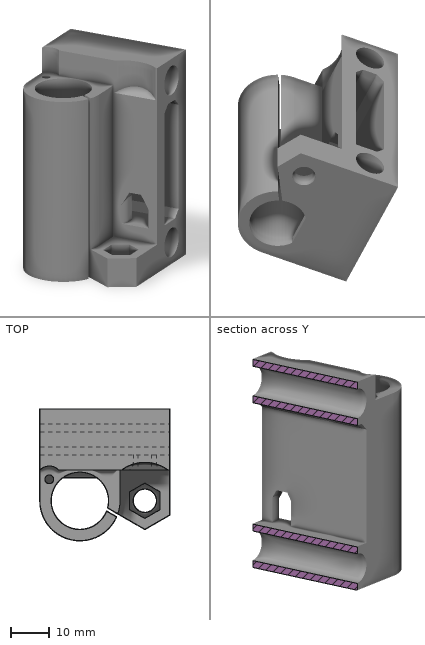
import cadquery as cq
import math

height = 57.0
width = 34.0
block_depth = 16.0

clamp_radius = 10.5
clamp_height = 50.0
clamp_x = clamp_radius
axis_y = -24.0
bore_radius = 7.45
lip_height = 2.0
lip_y = -18.0
slit_width = 0.8

plate_height = 8.0
plate_hex_radius = 7.5
nut_x = width - plate_hex_radius * math.cos(math.radians(30))
nut_radius = 4.6
nut_depth = 4.0
rod_hole_radius = 3.0

clearance_radius = 10.05
clearance_z = 48.0

corner_x = 2.5
corner_y = -18.4
corner_hole_radius = 1.15
corner_hole_depth = 10.0
scallop_radius = 3.5

cross_y = -block_depth / 2
cross_hole_radius = 4.0
cross_hole_heights = (6.0, 51.0)
slot_width = 8.05
slot_bottom = 11.95
slot_top = 45.05
slot_chamfer = 2.05
slot_back = cross_y + slot_width / 2
slot_front = cross_y - slot_width / 2

window_width = 8.1
window_throat = 6.05
window_top_width = 3.5
window_side_top = 17.1
window_top = 21.0
flare_radius = 2.5


def upright_cylinder(x, y, radius, bottom, top):
    return cq.Workplane("XY", origin=(x, y, bottom)).circle(radius).extrude(top - bottom)


def upright_hexagon(radius, bottom, top):
    """Hexagon on the nut axis with one corner pointing to the front."""
    corners = [
        (
            nut_x + radius * math.cos(math.radians(30 + 60 * i)),
            axis_y + radius * math.sin(math.radians(30 + 60 * i)),
        )
        for i in range(6)
    ]
    return cq.Workplane("XY", origin=(0, 0, bottom)).polyline(corners).close().extrude(top - bottom)


def box_between(x0, x1, y0, y1, z0, z1):
    return cq.Workplane("XY").box(x1 - x0, y1 - y0, z1 - z0, centered=False).translate((x0, y0, z0))


def make_block():
    return box_between(0, width, -block_depth, 0, 0, height)


def make_clamp():
    web = box_between(0, 2 * clamp_radius, axis_y, -block_depth, 0, clamp_height)
    return web.union(upright_cylinder(clamp_x, axis_y, clamp_radius, 0, clamp_height))


plate_tip_y = axis_y - plate_hex_radius
slit_slope = math.tan(math.radians(30))
slit_y = plate_tip_y + (nut_x - clamp_x) * slit_slope


def make_plate():
    outline = [
        (clamp_x, -block_depth),
        (width, -block_depth),
        (width, axis_y - plate_hex_radius / 2),
        (nut_x, plate_tip_y),
        (clamp_x, slit_y),
    ]
    return cq.Workplane("XY").polyline(outline).close().extrude(plate_height)


def make_bore():
    full = upright_cylinder(clamp_x, axis_y, bore_radius, lip_height, clamp_height)
    below = upright_cylinder(clamp_x, axis_y, bore_radius, 0, lip_height)
    lip = box_between(0, width, lip_y, 0, 0, lip_height)
    return full.union(below.cut(lip))


def make_slit():
    slit = box_between(0, 2 * clamp_radius, -slit_width, 0, 0, clamp_height)
    return slit.rotate((0, 0, 0), (0, 0, 1), -30).translate((clamp_x, slit_y, 0))


def make_nut_seat():
    hole = upright_cylinder(nut_x, axis_y, rod_hole_radius, 0, plate_height)
    return hole.union(upright_hexagon(nut_radius, plate_height - nut_depth, plate_height))


def make_clearance():
    column = upright_cylinder(nut_x, axis_y, clearance_radius, clearance_z, height)
    rise = height - clearance_z
    above_floor = (
        cq.Workplane("YZ")
        .polyline([
            (-block_depth, clearance_z),
            (-block_depth + rise, height),
            (-block_depth, height),
        ])
        .close()
        .extrude(width)
    )
    return column.intersect(above_floor)


def make_corner_relief():
    scallop = upright_cylinder(corner_x, corner_y, scallop_radius, clamp_height, height)
    floor = clamp_height - corner_hole_depth
    return scallop.union(upright_cylinder(corner_x, corner_y, corner_hole_radius, floor, clamp_height))


def make_cross_openings():
    holes = (
        cq.Workplane("YZ")
        .pushPoints([(cross_y, z) for z in cross_hole_heights])
        .circle(cross_hole_radius)
        .extrude(width)
    )
    slot = (
        cq.Workplane("YZ")
        .polyline([
            (slot_front, slot_bottom),
            (slot_back - slot_chamfer, slot_bottom),
            (slot_back, slot_bottom + slot_chamfer),
            (slot_back, slot_top - slot_chamfer),
            (slot_back - slot_chamfer, slot_top),
            (slot_front + slot_chamfer, slot_top),
            (slot_front, slot_top - slot_chamfer),
        ])
        .close()
        .extrude(width)
    )
    return holes.union(slot)


def make_window():
    half = window_width / 2
    half_top = window_top_width / 2
    opening = (
        cq.Workplane("XZ", origin=(nut_x, slot_front, 0))
        .polyline([
            (-half, slot_bottom),
            (half, slot_bottom),
            (half, window_side_top),
            (half_top, window_top),
            (-half_top, window_top),
            (-half, window_side_top),
        ])
        .close()
        .extrude(block_depth + slot_front)
    )
    cheek_x = window_throat / 2 + flare_radius
    flare_depth = math.sqrt(flare_radius**2 - (cheek_x - half) ** 2)
    cheek_y = -block_depth + flare_depth
    for side in (-1, 1):
        x = nut_x + side * cheek_x
        round_part = upright_cylinder(x, cheek_y, flare_radius, 0, height)
        straight_part = box_between(x - flare_radius, x + flare_radius, cheek_y, slot_front, 0, height)
        opening = opening.cut(round_part).cut(straight_part)
    return opening


result = (
    make_block()
    .union(make_clamp())
    .union(make_plate())
    .cut(make_bore())
    .cut(make_slit())
    .cut(make_nut_seat())
    .cut(make_clearance())
    .cut(make_corner_relief())
    .cut(make_cross_openings())
    .cut(make_window())
)